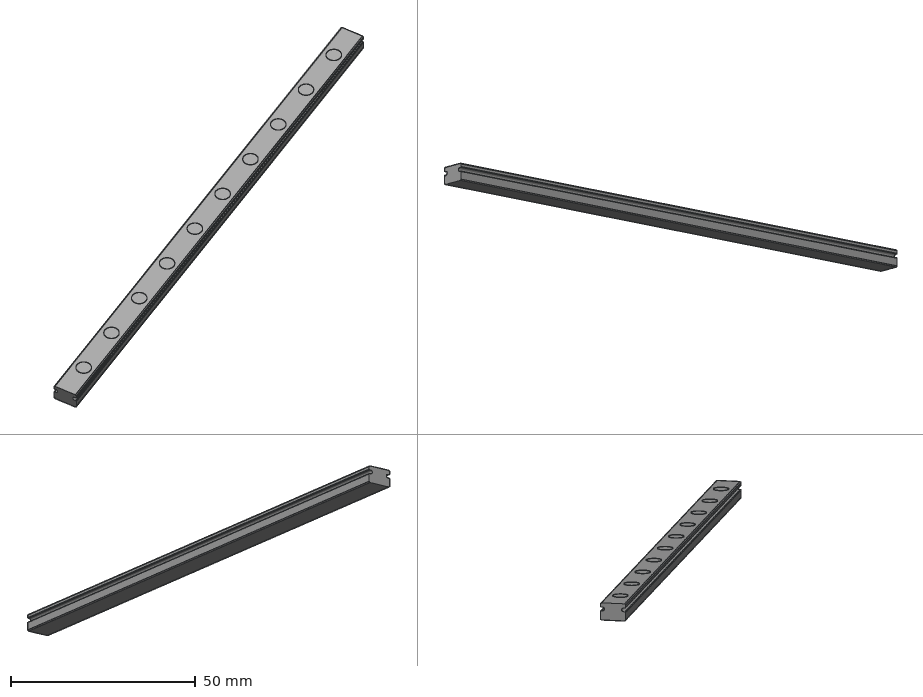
import cadquery as cq

rail_width = 7.0
rail_length = 155.0
rail_height = 4.8
edge_chamfer = 0.3

groove_height = 3.1
groove_width = 1.0
groove_depth = 1.1
groove_lip = 0.2

recess_count = 10
recess_pitch = 15.0
recess_diameter = 4.2
recess_depth = 0.1


def rail_body():
    """Rectangular bar with chamfered lengthwise edges, centred in X and Y, base at Z = 0."""
    bar = cq.Workplane("XY").box(rail_width, rail_length, rail_height, centered=(True, True, False))
    return bar.edges("|Y").chamfer(edge_chamfer)


def side_groove(side):
    """Ball groove along one side; side is +1 for the +X face and -1 for the -X face."""
    half_width = groove_width / 2
    half_mouth = half_width + groove_lip
    face_x = side * rail_width / 2
    lip_x = face_x - side * groove_lip
    floor_x = face_x - side * groove_depth
    arc_start_x = floor_x + side * half_width
    lower_z = groove_height - half_width
    upper_z = groove_height + half_width
    return (
        cq.Workplane("XZ")
        .moveTo(face_x, groove_height - half_mouth)
        .lineTo(lip_x, lower_z)
        .lineTo(arc_start_x, lower_z)
        .threePointArc((floor_x, groove_height), (arc_start_x, upper_z))
        .lineTo(lip_x, upper_z)
        .lineTo(face_x, groove_height + half_mouth)
        .close()
        .extrude(rail_length / 2, both=True)
    )


def top_recesses():
    """Row of equally spaced shallow discs at the top face, centred on the rail."""
    return (
        cq.Workplane("XY", origin=(0, 0, rail_height))
        .rarray(1, recess_pitch, 1, recess_count)
        .circle(recess_diameter / 2)
        .extrude(-recess_depth)
    )


result = rail_body()
for side in (-1, 1):
    result = result.cut(side_groove(side))
result = result.cut(top_recesses())